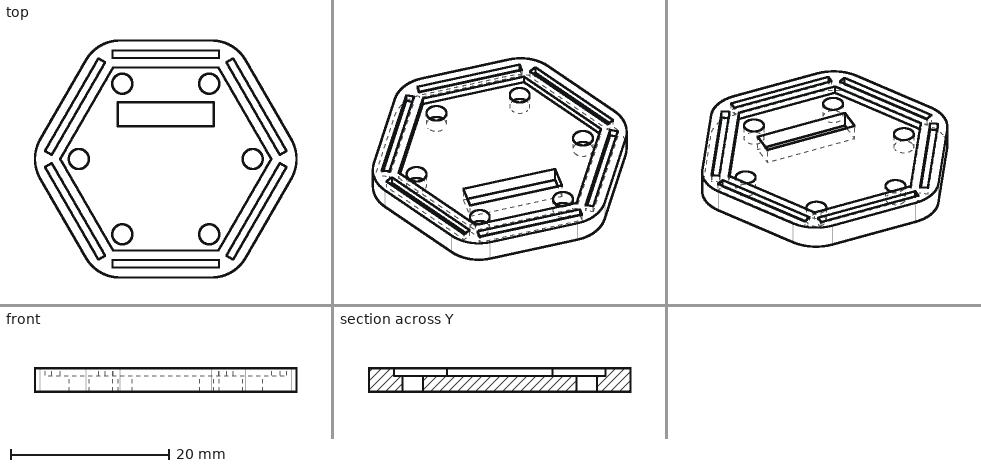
import cadquery as cq
import math

plate_length = 33.1
thickness = 3.0
corner_radius = 5.0
sides = 6
side_angle = 360 / sides
flat_to_corner = 1 / math.cos(math.radians(side_angle / 2))

recess_across_flats = 23.1
recess_depth = 1.0

slot_length = 13.5
slot_width = 1.0
slot_depth = 1.0
slot_offset = 13.25

hole_diameter = 2.5
hole_circle_radius = 11.0

window_length = 12.1
window_width = 3.0
window_offset = 5.65


def make_plate():
    sharp_length = plate_length + 2 * corner_radius * (flat_to_corner - 1)
    plate = cq.Workplane("XY").polygon(sides, sharp_length).extrude(thickness)
    return plate.edges("|Z").fillet(corner_radius)


def make_recess():
    recess = cq.Workplane("XY", origin=(0, 0, thickness - recess_depth))
    return recess.polygon(sides, recess_across_flats * flat_to_corner).extrude(recess_depth)


def make_slot(angle):
    slot = cq.Workplane("XY", origin=(0, 0, thickness - slot_depth))
    slot = slot.center(0, slot_offset).rect(slot_length, slot_width).extrude(slot_depth)
    return slot.rotate((0, 0, 0), (0, 0, 1), angle)


def make_holes():
    holes = cq.Workplane("XY").polarArray(hole_circle_radius, 0, 360, sides)
    return holes.circle(hole_diameter / 2).extrude(thickness)


def make_window():
    window = cq.Workplane("XY").center(0, window_offset)
    return window.rect(window_length, window_width).extrude(thickness)


result = make_plate().cut(make_recess()).cut(make_holes()).cut(make_window())
for side in range(sides):
    result = result.cut(make_slot(side * side_angle))